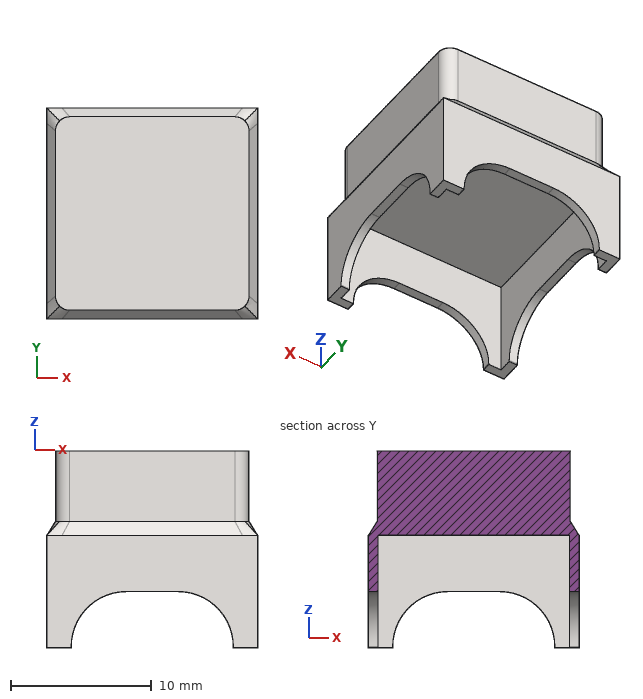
import cadquery as cq
import math

skirt_width = 15.0
skirt_height = 8.0
skirt_wall = 0.7

cap_width = 13.75
cap_corner_radius = 1.0
cap_height = 5.0

shoulder_height = 1.0

arch_width = 11.5
arch_height = 4.0
arch_corner_radius = 3.9

shoulder_top = skirt_height + shoulder_height


def make_skirt():
    """Square block standing on Z = 0."""
    return cq.Workplane("XY").rect(skirt_width, skirt_width).extrude(skirt_height)


def turned(point, quarter_turns):
    """Point rotated counter-clockwise about the Z axis by whole quarter turns."""
    x, y = point
    for _ in range(quarter_turns):
        x, y = -y, x
    return x, y


def make_shoulder():
    """Ruled loft from the sharp skirt square to the rounded cap square.

    Both outlines have matching edges: two for each corner and one for each side.
    """
    half_cap = cap_width / 2
    arc_center = half_cap - cap_corner_radius
    arc_points = []
    for step in range(5):
        angle = math.radians(90 * step / 4)
        x = arc_center + cap_corner_radius * math.cos(angle)
        y = arc_center + cap_corner_radius * math.sin(angle)
        arc_points.append((x, y))

    half_skirt = skirt_width / 2
    split = arc_center * skirt_width / cap_width
    skirt_points = [(half_skirt, split), (half_skirt, half_skirt), (split, half_skirt)]

    lower = cq.Workplane("XY").workplane(offset=skirt_height)
    lower = lower.polyline([turned(point, turn) for turn in range(4) for point in skirt_points]).close()

    upper = lower.workplane(offset=shoulder_height).moveTo(*arc_points[0])
    for turn in range(4):
        start, first_quarter, middle, last_quarter, end = [turned(point, turn) for point in arc_points]
        if turn > 0:
            upper = upper.lineTo(*start)
        upper = upper.threePointArc(first_quarter, middle).threePointArc(last_quarter, end)
    return upper.close().loft(ruled=True)


def make_cap():
    """Rounded square block above the shoulder."""
    return (
        cq.Workplane("XY")
        .workplane(offset=shoulder_top)
        .rect(cap_width, cap_width)
        .extrude(cap_height)
        .edges("|Z")
        .fillet(cap_corner_radius)
    )


def make_cavity():
    """Square hollow, open at the bottom, that leaves a thin wall around the skirt."""
    cavity_width = skirt_width - 2 * skirt_wall
    return cq.Workplane("XY").rect(cavity_width, cavity_width).extrude(skirt_height)


def make_arch(plane):
    """Round-shouldered tunnel through the whole skirt, normal to the given plane."""
    half_width = arch_width / 2
    half_crown = half_width - arch_corner_radius
    spring_height = arch_height - arch_corner_radius
    return (
        cq.Workplane(plane)
        .moveTo(-half_width, 0)
        .lineTo(-half_width, spring_height)
        .radiusArc((-half_crown, arch_height), arch_corner_radius)
        .lineTo(half_crown, arch_height)
        .radiusArc((half_width, spring_height), arch_corner_radius)
        .lineTo(half_width, 0)
        .close()
        .extrude(skirt_width / 2, both=True)
    )


result = make_skirt().union(make_shoulder()).union(make_cap()).cut(make_cavity())
for arch_plane in ("XZ", "YZ"):
    result = result.cut(make_arch(arch_plane))